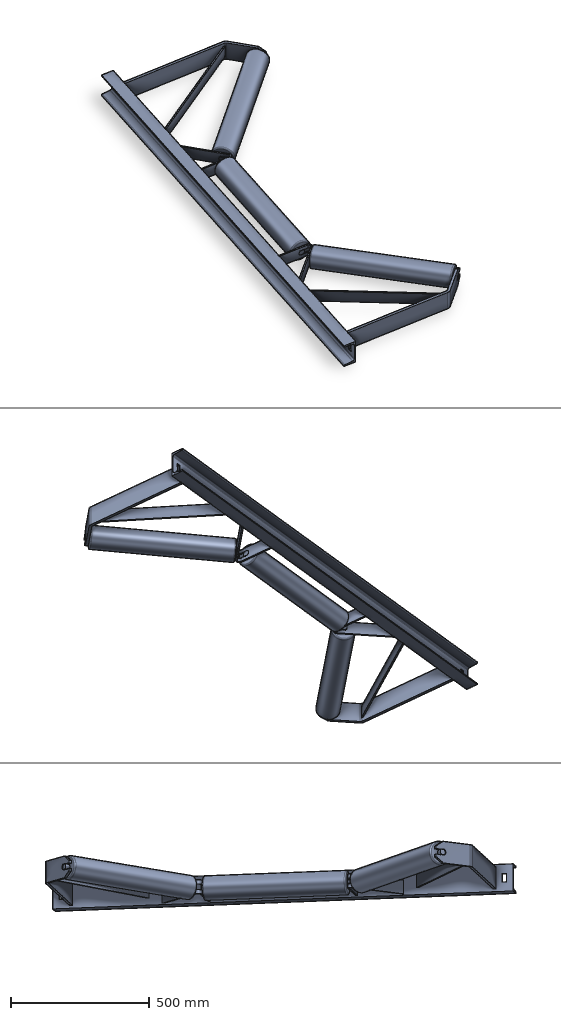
import cadquery as cq
import math


beam_length = 1700.0
beam_height = 100.0
beam_depth = 50.0
web_thickness = 6.0
flange_thickness = 8.0
flange_slope = 0.08
root_radius = 7.6
tip_radius = 3.0
mount_slot_width = 15.0
mount_slot_height = 30.0
mount_slot_inset = 32.0

roller_length = 530.0
roller_radius = 45.0
roller_edge_radius = 5.0
axle_radius = 12.0
axle_flat_width = 20.0
axle_overhang = 3.0
end_gap = 4.2
axle_slot_depth = 25.0
axle_slot_reach = 102.0
centre_roller_y = 119.0
centre_roller_sag = 14.0
wing_roller_x = -500.0
wing_roller_y = 326.0
wing_tilt = math.radians(2.0)

outer_thickness = 10.0
outer_height = 80.0
outer_leg_x = -787.0
outer_bend_radius = 10.0
outer_tip_y = 544.0
tip_chamfer_along = 30.0
tip_chamfer_height = 20.0

inner_thickness = 6.0
inner_height = 51.0
inner_bend_radius = 7.6

brace_thickness = 6.0
brace_height = 50.0
brace_top_z = 25.0
brace_foot_x = -498.0
brace_head_y = 434.0

web_trim = 17.0

half_roller = roller_length / 2
diagonal = math.sqrt(0.5)
centre_roller_z = roller_radius - centre_roller_sag - beam_height / 2
inner_plate_distance = half_roller + end_gap + inner_thickness / 2
wing_roller_z = centre_roller_z + inner_plate_distance * math.tan(wing_tilt)
wing_offset = wing_roller_x - wing_roller_y

centre_seat = cq.Plane(
    origin=(0, centre_roller_y, centre_roller_z),
    xDir=(0, 1, 0),
    normal=(-1, 0, 0),
)
wing_axis = cq.Vector(
    -diagonal * math.cos(wing_tilt),
    diagonal * math.cos(wing_tilt),
    math.sin(wing_tilt),
)
wing_seat = cq.Plane(
    origin=(wing_roller_x, wing_roller_y, wing_roller_z),
    xDir=(1, 1, 0),
    normal=wing_axis,
)


def make_beam():
    half_height = beam_height / 2
    half_drop = flange_slope * beam_depth / 2
    tip_z = half_height - flange_thickness + half_drop
    root_z = tip_z - flange_slope * (beam_depth - web_thickness)
    outline = [
        (0, -half_height),
        (0, half_height),
        (-beam_depth, half_height),
        (-beam_depth, tip_z),
        (-web_thickness, root_z),
        (-web_thickness, -root_z),
        (-beam_depth, -tip_z),
        (-beam_depth, -half_height),
    ]
    beam = cq.Workplane("YZ").polyline(outline).close().extrude(beam_length / 2, both=True)
    for side in (-1, 1):
        root = cq.NearestToPointSelector((0, -web_thickness, side * root_z))
        beam = beam.edges(root).fillet(root_radius)
        tip = cq.NearestToPointSelector((0, -beam_depth, side * tip_z))
        beam = beam.edges(tip).fillet(tip_radius)
    slot_x = beam_length / 2 - mount_slot_inset
    slots = (
        cq.Workplane("XZ")
        .pushPoints([(-slot_x, 0), (slot_x, 0)])
        .rect(mount_slot_width, mount_slot_height)
        .extrude(web_thickness)
    )
    return beam.cut(slots)


def axle_bar(seat, start, end):
    """Round bar with two flats, between two distances along the roller axis."""
    length = end - start
    bar = cq.Workplane(seat).workplane(offset=start).circle(axle_radius).extrude(length)
    flats = (
        cq.Workplane(seat).workplane(offset=start)
        .rect(2 * axle_radius, axle_flat_width).extrude(length)
    )
    return bar.intersect(flats)


def make_roller(seat, inward_reach, outward_reach):
    shell = (
        cq.Workplane(seat).workplane(offset=-half_roller).circle(roller_radius).extrude(roller_length)
        .edges().fillet(roller_edge_radius)
    )
    return shell.union(axle_bar(seat, -inward_reach, outward_reach))


def axle_slot(seat, side):
    """Cutter for an open slot at one end of a roller; side is +1 or -1 along the axis."""
    near_end = side * half_roller
    far_end = side * (half_roller + axle_slot_depth)
    start = min(near_end, far_end)
    mouth = (
        cq.Workplane(seat).workplane(offset=start)
        .center(axle_slot_reach / 2, 0).rect(axle_slot_reach, axle_flat_width).extrude(axle_slot_depth)
    )
    return mouth.union(axle_bar(seat, start, start + axle_slot_depth))


def bent_plate(start, corner, end, thickness, inside_radius, bottom_z, height):
    """Plate with one bend. The three points lie on its outside face, the plate on their right."""
    def right_normal(a, b):
        length = math.dist(a, b)
        return (b[1] - a[1]) / length, (a[0] - b[0]) / length

    n1 = right_normal(start, corner)
    n2 = right_normal(corner, end)
    miter = thickness / (1 + n1[0] * n2[0] + n1[1] * n2[1])
    inside_corner = (corner[0] + miter * (n1[0] + n2[0]), corner[1] + miter * (n1[1] + n2[1]))
    outline = [
        start,
        corner,
        end,
        (end[0] + thickness * n2[0], end[1] + thickness * n2[1]),
        inside_corner,
        (start[0] + thickness * n1[0], start[1] + thickness * n1[1]),
    ]
    plate = cq.Workplane("XY").workplane(offset=bottom_z).polyline(outline).close().extrude(height)
    middle_z = bottom_z + height / 2
    bends = ((corner, inside_radius + thickness), (inside_corner, inside_radius))
    for point, radius in bends:
        edge = cq.NearestToPointSelector((point[0], point[1], middle_z))
        plate = plate.edges("|Z").edges(edge).fillet(radius)
    return plate


def keep_behind_web(body):
    """Trim a body flush with the back of the web (Y = 0)."""
    size = beam_length
    behind_web = cq.Workplane("XY").box(size, size, size).translate((0, size / 2, 0))
    return body.intersect(behind_web)


def make_outer_bracket():
    arm_distance = half_roller + end_gap + outer_thickness
    arm_offset = wing_offset - arm_distance / diagonal
    corner = (outer_leg_x, outer_leg_x - arm_offset)
    tip = (outer_tip_y + arm_offset, outer_tip_y)
    bracket = bent_plate(
        (outer_leg_x, 0), corner, tip,
        outer_thickness, outer_bend_radius, -outer_height / 2, outer_height,
    )
    tip_plane = cq.Plane(origin=(tip[0], tip[1], 0), xDir=(1, 1, 0), normal=(-1, 1, 0))
    half = outer_height / 2
    for side in (-1, 1):
        clipped_corner = [
            (0, side * half),
            (-tip_chamfer_along, side * half),
            (0, side * (half - tip_chamfer_height)),
        ]
        cutter = cq.Workplane(tip_plane).polyline(clipped_corner).close().extrude(outer_thickness, both=True)
        bracket = bracket.cut(cutter)
    return bracket.cut(axle_slot(wing_seat, 1))


def make_inner_bracket():
    """Leg beside the centre roller, bent back under the wing roller down to the web."""
    face_distance = half_roller + end_gap
    leg_x = -face_distance
    arm_offset = wing_offset + face_distance / diagonal
    foot_y = -web_trim
    bracket = bent_plate(
        (foot_y + arm_offset, foot_y), (leg_x, leg_x - arm_offset), (leg_x, foot_y),
        inner_thickness, inner_bend_radius, centre_roller_z - inner_height / 2, inner_height,
    )
    bracket = bracket.cut(axle_slot(centre_seat, 1)).cut(axle_slot(wing_seat, -1))
    return keep_behind_web(bracket)


def make_brace(bracket):
    head_x = outer_leg_x + outer_thickness / 2
    run_x = head_x - brace_foot_x
    length = math.hypot(run_x, brace_head_y)
    strip = (
        cq.Workplane("XY")
        .box(length + web_trim, brace_thickness, brace_height, centered=(False, True, False))
        .translate((-web_trim, 0, 0))
        .rotate((0, 0, 0), (0, 0, 1), math.degrees(math.atan2(brace_head_y, run_x)))
        .translate((brace_foot_x, 0, brace_top_z - brace_height))
    )
    return keep_behind_web(strip).cut(bracket)


beam = make_beam()

centre_reach = half_roller + end_gap + inner_thickness
centre_roller = make_roller(centre_seat, centre_reach, centre_reach)

wing_roller = make_roller(
    wing_seat,
    half_roller + end_gap + inner_thickness + axle_overhang,
    half_roller + end_gap + outer_thickness + axle_overhang,
)
outer_bracket = make_outer_bracket()
inner_bracket = make_inner_bracket()
brace = make_brace(outer_bracket)

bodies = [beam.solids().val(), centre_roller.solids().val()]
for left_body in (wing_roller, outer_bracket, inner_bracket, brace):
    bodies.append(left_body.solids().val())
    bodies.append(left_body.mirror("YZ").solids().val())

result = cq.Compound.makeCompound(bodies)